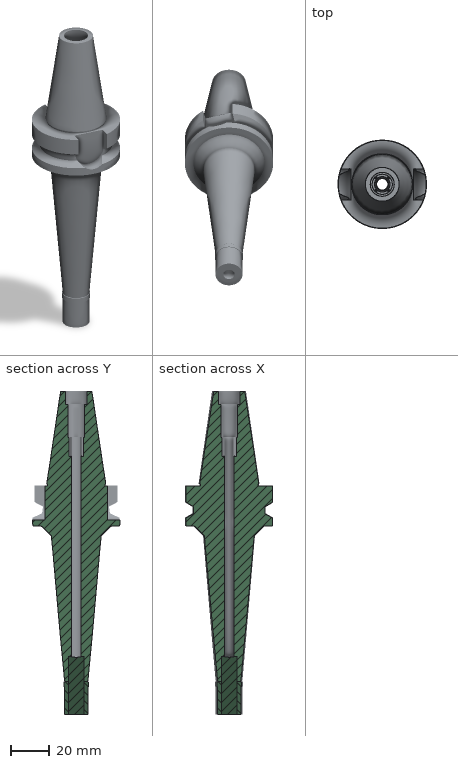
import cadquery as cq
import math


OVERALL_LENGTH = 168.4

GAUGE_RADIUS = 31.75 / 2
TAPER_PER_SIDE = 7 / 24 / 2
SHANK_TOP = 48.4
SHANK_TOP_RADIUS = GAUGE_RADIUS - SHANK_TOP * TAPER_PER_SIDE
RELIEF_RADIUS = 15.5

FLANGE_RADIUS = 23.0
FLANGE_TOP = -1.0
FLANGE_BOTTOM = -22.0
GROOVE_CENTRE = -13.6
GROOVE_WIDTH = 8.1
GROOVE_RADIUS = 19.0
GROOVE_SIDE_SLOPE = math.tan(math.radians(30))
GROOVE_FLOOR_WIDTH = GROOVE_WIDTH - 2 * (FLANGE_RADIUS - GROOVE_RADIUS) * GROOVE_SIDE_SLOPE
SLOT_WIDTH = 16.1
SLOT_BOTTOM = -19.2
SLOT_FLOOR_X = 16.3

NECK_TOP_RADIUS = 13.5
NECK_CHAMFER = 5.0
NECK_END_RADIUS = 7.0
NECK_TOP = FLANGE_BOTTOM - NECK_CHAMFER

NOSE_END = SHANK_TOP - OVERALL_LENGTH
NUT_RADIUS = 7.0
NUT_HEIGHT = 17.2
NUT_BAND_RADIUS = 7.3
NUT_BAND_HEIGHT = 2.7
NUT_TOP = NOSE_END + NUT_HEIGHT
NUT_BAND_BOTTOM = NUT_TOP - NUT_BAND_HEIGHT
NUT_GAP = 0.5
NECK_END = NUT_TOP + NUT_GAP
SPIGOT_RADIUS = 6.8

PILOT_RADIUS = 12.5 / 2
PILOT_DEPTH = 7.0
THREAD_RADIUS = 5.25
THREAD_DEPTH = 24.0
CHANNEL_RADIUS = 4.0
SMALL_HOLE_COUNT = 4
SMALL_HOLE_DIAMETER = 1.0
SMALL_HOLE_CIRCLE_RADIUS = 4.6
SMALL_HOLE_START_ANGLE = 45.0
SMALL_HOLE_DEPTH = 10.0

COLLET_RADIUS = 5.0
COLLET_LENGTH = 30.0
COLLET_BORE_RADIUS = 3.0
COLLET_MOUTH_CHAMFER = 0.3
COLLET_MOUTH_RADIUS = COLLET_BORE_RADIUS + COLLET_MOUTH_CHAMFER
COLLET_TOP = NOSE_END + COLLET_LENGTH


def turned(profile):
    """Revolve a closed (radius, z) profile about Z."""
    return cq.Workplane("YZ").polyline(profile).close().revolve(360, (0, 0, 0), (0, 1, 0))


def drive_slot(side):
    """Round-ended slot, open upwards, on the +X or -X side of the flange."""
    round_radius = SLOT_WIDTH / 2
    depth = FLANGE_RADIUS - SLOT_FLOOR_X
    return (
        cq.Workplane("YZ", origin=(side * SLOT_FLOOR_X, 0, 0))
        .moveTo(-round_radius, FLANGE_TOP)
        .lineTo(-round_radius, SLOT_BOTTOM + round_radius)
        .threePointArc((0, SLOT_BOTTOM), (round_radius, SLOT_BOTTOM + round_radius))
        .lineTo(round_radius, FLANGE_TOP)
        .close()
        .extrude(side * depth)
    )


def small_holes():
    """Blind holes around the channel, sunk into the floor of the thread bore at 45 degrees to X."""
    return (
        cq.Workplane("XY", origin=(0, 0, SHANK_TOP - THREAD_DEPTH))
        .polarArray(SMALL_HOLE_CIRCLE_RADIUS, SMALL_HOLE_START_ANGLE, 360, SMALL_HOLE_COUNT)
        .circle(SMALL_HOLE_DIAMETER / 2)
        .extrude(-SMALL_HOLE_DEPTH)
    )


def make_holder():
    """Shank, flange and neck in one piece, bored through along the axis."""
    profile = [
        (SHANK_TOP_RADIUS, SHANK_TOP),
        (GAUGE_RADIUS, 0),
        (RELIEF_RADIUS, 0),
        (RELIEF_RADIUS, FLANGE_TOP),
        (FLANGE_RADIUS, FLANGE_TOP),
        (FLANGE_RADIUS, GROOVE_CENTRE + GROOVE_WIDTH / 2),
        (GROOVE_RADIUS, GROOVE_CENTRE + GROOVE_FLOOR_WIDTH / 2),
        (GROOVE_RADIUS, GROOVE_CENTRE - GROOVE_FLOOR_WIDTH / 2),
        (FLANGE_RADIUS, GROOVE_CENTRE - GROOVE_WIDTH / 2),
        (FLANGE_RADIUS, FLANGE_BOTTOM),
        (NECK_TOP_RADIUS + NECK_CHAMFER, FLANGE_BOTTOM),
        (NECK_TOP_RADIUS, NECK_TOP),
        (NECK_END_RADIUS, NECK_END),
        (SPIGOT_RADIUS, NECK_END),
        (SPIGOT_RADIUS, NUT_TOP),
        (COLLET_RADIUS, NUT_TOP),
        (COLLET_RADIUS, COLLET_TOP),
        (CHANNEL_RADIUS, COLLET_TOP),
        (CHANNEL_RADIUS, SHANK_TOP - THREAD_DEPTH),
        (THREAD_RADIUS, SHANK_TOP - THREAD_DEPTH),
        (THREAD_RADIUS, SHANK_TOP - PILOT_DEPTH),
        (PILOT_RADIUS, SHANK_TOP - PILOT_DEPTH),
        (PILOT_RADIUS, SHANK_TOP),
    ]
    body = turned(profile)
    for side in (-1, 1):
        body = body.cut(drive_slot(side))
    return body.cut(small_holes())


def make_nut():
    """Plain sleeve with a slightly wider band at its upper end."""
    profile = [
        (COLLET_RADIUS, NOSE_END),
        (NUT_RADIUS, NOSE_END),
        (NUT_RADIUS, NUT_BAND_BOTTOM),
        (NUT_BAND_RADIUS, NUT_BAND_BOTTOM),
        (NUT_BAND_RADIUS, NUT_TOP),
        (COLLET_RADIUS, NUT_TOP),
    ]
    return turned(profile)


def make_collet():
    """Straight sleeve with a chamfered bore mouth, seated in the holder and reaching down through the nut."""
    profile = [
        (COLLET_BORE_RADIUS, NOSE_END),
        (COLLET_RADIUS, NOSE_END),
        (COLLET_RADIUS, COLLET_TOP),
        (COLLET_MOUTH_RADIUS, COLLET_TOP),
        (COLLET_BORE_RADIUS, COLLET_TOP - COLLET_MOUTH_CHAMFER),
    ]
    return turned(profile)


holder = make_holder()
nut = make_nut()
collet = make_collet()
result = cq.Compound.makeCompound([holder.val(), nut.val(), collet.val()])